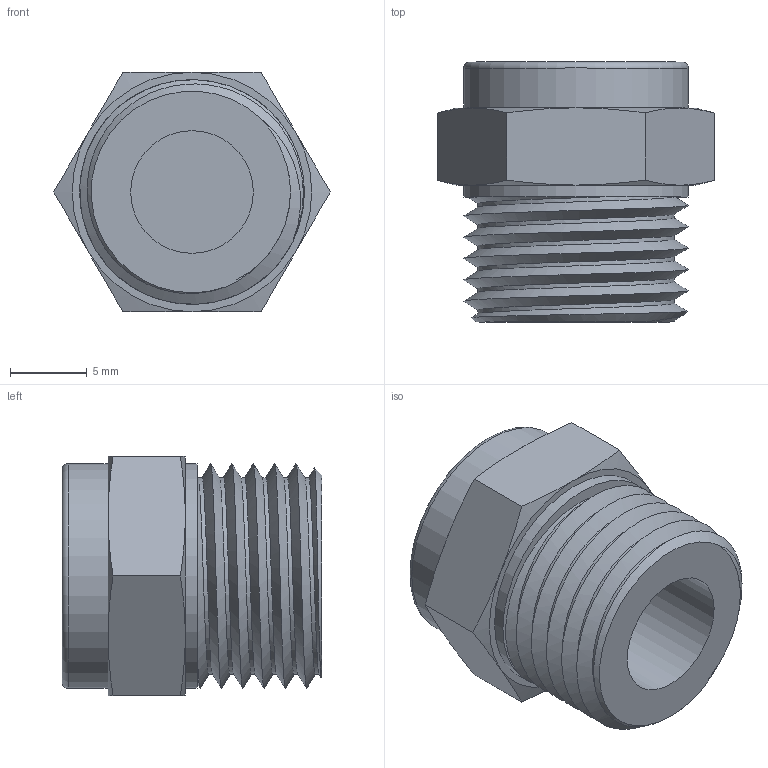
import cadquery as cq
import math

overall_length = 16.94
collar_diameter = 14.66
bore_diameter = 8.0

hex_sides = 6
hex_across_flats = 15.615
hex_across_corners = hex_across_flats / math.cos(math.pi / hex_sides)
hex_width = 5.03
hex_chamfer_angle = 15.0

rear_collar_length = 3.0
rear_edge_radius = 0.4
front_collar_length = 0.77

thread_pitch = 1.39
thread_flank_angle = 32.0
crest_clearance = 0.01
crest_radius = collar_diameter / 2 - crest_clearance
root_radius = 6.42
end_chamfer_radius = 6.57
first_crest_offset = 0.65
ridge_overlap = 0.1

trim_clearance = 1.0

open_end = -overall_length / 2
closed_end = overall_length / 2
hex_rear = closed_end - rear_collar_length
hex_front = hex_rear - hex_width
thread_end = hex_front - front_collar_length
thread_length = thread_end - open_end
bore_depth = hex_rear - open_end


def cylinder(radius, start, length):
    """Round bar on the Y axis, running toward +Y from the given station."""
    return cq.Workplane("XZ", origin=(0, start, 0)).circle(radius).extrude(-length)


def revolve_about_y(profile_points):
    """Solid of revolution about Y from (radius, station) points."""
    profile = cq.Workplane("XY").polyline(profile_points).close()
    return profile.revolve(360, (0, 0, 0), (0, 1, 0))


def make_hexagon():
    """Hexagonal section with its corners bevelled by a cone at both ends."""
    prism = (
        cq.Workplane("XZ", origin=(0, hex_front, 0))
        .polygon(hex_sides, hex_across_corners)
        .extrude(-hex_width)
    )
    flat_radius = hex_across_flats / 2
    outer_radius = hex_across_corners / 2 + trim_clearance
    bevel = (outer_radius - flat_radius) * math.tan(math.radians(hex_chamfer_angle))
    bevel_envelope = revolve_about_y([
        (0, hex_front),
        (flat_radius, hex_front),
        (outer_radius, hex_front + bevel),
        (outer_radius, hex_rear - bevel),
        (flat_radius, hex_rear),
        (0, hex_rear),
    ])
    return prism.intersect(bevel_envelope)


def make_threaded_shank():
    """Core with a helical V ridge, trimmed by the end chamfer and the front collar face."""
    base_radius = root_radius - ridge_overlap
    half_base = (crest_radius - base_radius) * math.tan(math.radians(thread_flank_angle))
    lead_in = 2 * thread_pitch
    start = open_end + first_crest_offset - lead_in
    helix_height = lead_in + thread_length + thread_pitch

    helix = cq.Wire.makeHelix(thread_pitch, helix_height, base_radius)
    ridge = (
        cq.Workplane("XZ")
        .polyline([(base_radius, -half_base), (crest_radius, 0), (base_radius, half_base)])
        .close()
        .sweep(cq.Workplane(obj=helix), isFrenet=True)
        .rotate((0, 0, 0), (1, 0, 0), -90)
        .translate((0, start, 0))
    )

    core_start = start - thread_pitch
    core = cylinder(root_radius, core_start, helix_height + 2 * thread_pitch)

    trim_radius = crest_radius + trim_clearance
    trim_envelope = revolve_about_y([
        (0, open_end),
        (end_chamfer_radius, open_end),
        (trim_radius, open_end + trim_radius - end_chamfer_radius),
        (trim_radius, thread_end),
        (0, thread_end),
    ])
    return core.union(ridge).intersect(trim_envelope)


def make_rear_collar():
    """Plain collar with a rounded edge at the closed end."""
    collar = cylinder(collar_diameter / 2, hex_rear, rear_collar_length)
    return collar.faces(">Y").edges().fillet(rear_edge_radius)


front_collar = cylinder(collar_diameter / 2, thread_end, front_collar_length)
bore = cylinder(bore_diameter / 2, open_end, bore_depth)

result = (
    make_threaded_shank()
    .union(front_collar)
    .union(make_hexagon())
    .union(make_rear_collar())
    .cut(bore)
)